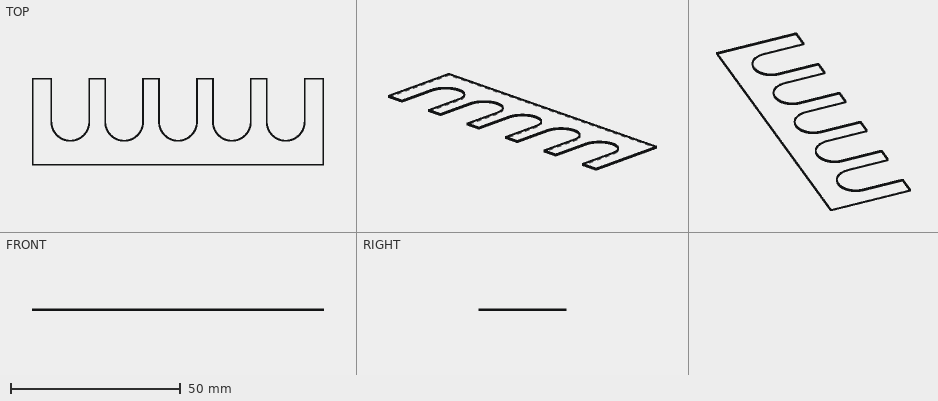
import cadquery as cq

plate_length = 85.725
plate_depth = 25.4
plate_thickness = 0.381

slot_count = 5
slot_pitch = 15.875
slot_width = 11.1125
slot_radius = slot_width / 2
slot_arc_center_y = plate_depth / 2


def make_plate():
    """Flat plate centred in X, with its -Y edge at Y = 0 and its base at Z = 0."""
    return cq.Workplane("XY").box(
        plate_length, plate_depth, plate_thickness, centered=(True, False, False)
    )


def make_slot(center_x):
    """Cutter for one slot: straight sides ending in a half-round bottom."""
    left_x = center_x - slot_radius
    right_x = center_x + slot_radius
    bottom_y = slot_arc_center_y - slot_radius
    return (
        cq.Workplane("XY")
        .moveTo(left_x, plate_depth)
        .lineTo(left_x, slot_arc_center_y)
        .threePointArc((center_x, bottom_y), (right_x, slot_arc_center_y))
        .lineTo(right_x, plate_depth)
        .close()
        .extrude(plate_thickness)
    )


result = make_plate()
first_slot_x = -slot_pitch * (slot_count - 1) / 2
for slot_index in range(slot_count):
    result = result.cut(make_slot(first_slot_x + slot_index * slot_pitch))